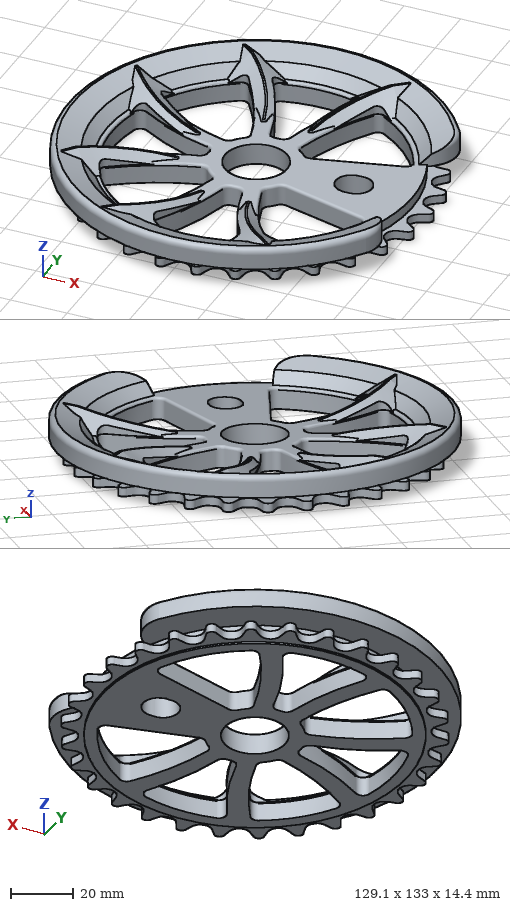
import cadquery as cq
import math

neck_diameter = 110.3
neck_radius = neck_diameter / 2
plate_top = 7.5
bore_diameter = 22.0
hub_radius = 16.2
window_outer_radius = 50.8
window_edge_round = 1.0
corner_radius = 2.7
slot_center_x = 34.6
slot_length = 12.8
slot_width = 11.0

tooth_count = 30
tooth_bottom = 0.7
tooth_top = 3.7
pitch_radius = 60.8
roller_radius = 3.9
tip_radius = 62.6
tooth_shoulder_radius = 61.2
flank_angle = 24.0

guard_radius = 66.5
guard_bottom = 6.9
guard_top = 14.4
guard_edge_round = 2.1
guard_end_angle = 22.2
guard_end_radius = 10.9
bowl_rim_radius = guard_radius - guard_edge_round
bowl_line_radius = 56.5
bowl_line_z = 11.5
bowl_foot_radius = 52.5

pair_angles = (90, 180, 270)
ridge_start = (24.6, 8.4)
ridge_middle = (41.2, 15.7)
ridge_end = (56.5, 30.5)
ridge_start_z = 7.8
ridge_end_z = 13.8
ridge_level_from = 0.82
ridge_flat_width = 0.7
climb_steps = 4
roof_slope = 0.63

wide_window_angles = (135, 225)
arm_window_angle = 45
narrow_inner = (16.9, 3.0)
narrow_middle = (29.9, 6.9)
narrow_outer_half_width = 16.5
wide_inner_half_width = 3.7
wide_middle = (27.1, 9.5)
wide_outer_half_width = 15.3
arm_inner_y = 9.3
arm_outer_y = 18.4


def polar(radius, degrees):
    angle = math.radians(degrees)
    return (radius * math.cos(angle), radius * math.sin(angle))


def on_circle(radius, offset):
    """Point at the given sideways offset on a circle about the origin."""
    return (math.sqrt(radius**2 - offset**2), offset)


def mirrored(point):
    return (point[0], -point[1])


def turned(point, degrees):
    """Point rotated about the origin."""
    return polar(math.hypot(*point), math.degrees(math.atan2(point[1], point[0])) + degrees)


def window_prism(outline):
    return outline.close().extrude(guard_top).edges("|Z").fillet(corner_radius)


def narrow_window():
    outer = on_circle(window_outer_radius, narrow_outer_half_width)
    outline = (
        cq.Workplane("XY")
        .moveTo(*narrow_inner)
        .threePointArc(narrow_middle, outer)
        .threePointArc((window_outer_radius, 0), mirrored(outer))
        .threePointArc(mirrored(narrow_middle), mirrored(narrow_inner))
    )
    return window_prism(outline)


def wide_window():
    inner = on_circle(hub_radius, wide_inner_half_width)
    outer = on_circle(window_outer_radius, wide_outer_half_width)
    outline = (
        cq.Workplane("XY")
        .moveTo(*inner)
        .threePointArc(wide_middle, outer)
        .threePointArc((window_outer_radius, 0), mirrored(outer))
        .threePointArc(mirrored(wide_middle), mirrored(inner))
        .threePointArc((hub_radius, 0), inner)
    )
    return window_prism(outline)


def arm_window():
    """Window between the +X arm and the next spoke toward +Y."""
    inner = turned(on_circle(hub_radius, wide_inner_half_width), arm_window_angle)
    middle = turned(wide_middle, arm_window_angle)
    outer = turned(on_circle(window_outer_radius, wide_outer_half_width), arm_window_angle)
    arm_outer = on_circle(window_outer_radius, arm_outer_y)
    outline = (
        cq.Workplane("XY")
        .moveTo(*inner)
        .threePointArc(middle, outer)
        .threePointArc(polar(window_outer_radius, arm_window_angle), arm_outer)
        .lineTo(*on_circle(hub_radius, arm_inner_y))
        .threePointArc(polar(hub_radius, arm_window_angle), inner)
    )
    return window_prism(outline)


def all_windows():
    upper_arm_window = arm_window()
    windows = upper_arm_window.add(upper_arm_window.mirror("XZ"))
    for angle in pair_angles:
        windows = windows.add(narrow_window().rotate((0, 0, 0), (0, 0, 1), angle))
    for angle in wide_window_angles:
        windows = windows.add(wide_window().rotate((0, 0, 0), (0, 0, 1), angle))
    return windows.combine()


def sprocket():
    """Toothed disc; each tooth starts and ends at the bottom of a roller seat."""
    half_pitch = 180 / tooth_count
    flank = math.radians(flank_angle)
    seat_center = polar(pitch_radius, half_pitch)
    root = polar(pitch_radius - roller_radius, half_pitch)

    def seat_point(angle):
        return (
            seat_center[0] - roller_radius * math.sin(angle),
            seat_center[1] - roller_radius * math.cos(angle),
        )

    flank_foot = seat_point(flank)
    seat_middle = seat_point((flank + math.radians(90 - half_pitch)) / 2)
    shoulder_y = flank_foot[1] - (tooth_shoulder_radius - flank_foot[0]) * math.tan(flank)
    shoulder = (tooth_shoulder_radius, shoulder_y)

    outline = cq.Workplane("XY").workplane(offset=tooth_bottom).moveTo(*mirrored(root))
    for index in range(tooth_count):
        angle = index * 2 * half_pitch
        outline = (
            outline.threePointArc(turned(mirrored(seat_middle), angle), turned(mirrored(flank_foot), angle))
            .lineTo(*turned(mirrored(shoulder), angle))
            .threePointArc(polar(tip_radius, angle), turned(shoulder, angle))
            .lineTo(*turned(flank_foot, angle))
            .threePointArc(turned(seat_middle, angle), turned(root, angle))
        )
    return outline.close().extrude(tooth_top - tooth_bottom)


def web_plate(windows):
    plate = cq.Workplane("XY").circle(neck_radius).extrude(plate_top).union(sprocket()).cut(windows)
    inner_wires = plate.faces(">Z").val().innerWires()
    window_edges = [edge for wire in inner_wires for edge in wire.Edges()]
    return plate.newObject(window_edges).fillet(window_edge_round)


def guard_bowl():
    """Revolved space above the dished face and inside the guard."""
    return (
        cq.Workplane("XZ")
        .moveTo(0, guard_bottom)
        .lineTo(bowl_foot_radius, guard_bottom)
        .lineTo(bowl_foot_radius, plate_top)
        .lineTo(bowl_line_radius, bowl_line_z)
        .lineTo(bowl_rim_radius, guard_top)
        .lineTo(0, guard_top)
        .close()
        .revolve(360, (0, 0, 0), (0, 1, 0))
    )


def guard_ring():
    """Open ring with rounded ends; the bowl cut sets its final inner edge."""
    height = guard_top - guard_bottom
    reach = 2 * guard_radius
    base = cq.Workplane("XY").workplane(offset=guard_bottom)
    opening = (
        base.polyline([(0, 0), polar(reach, -guard_end_angle), polar(reach, guard_end_angle)])
        .close()
        .extrude(height)
    )
    ring = base.circle(guard_radius).circle(bowl_foot_radius / 2).extrude(height).cut(opening)
    ring = ring.edges("|Z").edges(">X").fillet(guard_end_radius)
    ring = ring.faces(">Z").edges().fillet(guard_edge_round)
    return ring.cut(guard_bowl())


def ridge_height(fraction):
    rise = min(1, fraction / ridge_level_from)
    return ridge_start_z + (ridge_end_z - ridge_start_z) * rise


def roof_section(ridge_path, fraction):
    """Cross-section of a ridge: two equal slopes down from a narrow flat top."""
    height = ridge_height(fraction) - guard_bottom
    half_flat = ridge_flat_width / 2
    half_base = half_flat + height / roof_slope
    point = ridge_path.positionAt(fraction)
    forward = ridge_path.tangentAt(fraction)
    sideways = cq.Vector(-forward.y, forward.x, 0)
    plane = cq.Plane((point.x, point.y, guard_bottom), sideways, forward)
    profile = [(-half_base, 0), (half_base, 0), (half_flat, height), (-half_flat, height)]
    return cq.Wire.makePolygon([plane.toWorldCoords(corner) for corner in profile], close=True)


def spoke_ridge():
    """Ridge beside the +X axis, climbing from the web and levelling off in the guard, with a conical nose."""
    path = cq.Workplane("XY").moveTo(*ridge_start).threePointArc(ridge_middle, ridge_end).val()
    climb = [roof_section(path, ridge_level_from * step / climb_steps) for step in range(climb_steps + 1)]
    level_middle = (ridge_level_from + 1) / 2
    level = [roof_section(path, fraction) for fraction in (ridge_level_from, level_middle, 1)]
    ridge = cq.Workplane(cq.Solid.makeLoft(climb))
    nose_height = ridge_start_z - guard_bottom
    nose_top_radius = ridge_flat_width / 2
    nose_foot_radius = nose_top_radius + nose_height / roof_slope
    nose = cq.Solid.makeCone(
        nose_foot_radius, nose_top_radius, nose_height, cq.Vector(*ridge_start, guard_bottom)
    )
    ridge = ridge.union(cq.Workplane(cq.Solid.makeLoft(level))).union(cq.Workplane(nose))
    return ridge.intersect(cq.Workplane("XY").circle(bowl_rim_radius).extrude(guard_top))


windows = all_windows()

ridge = spoke_ridge()
ridges = cq.Workplane("XY")
for angle in pair_angles:
    for side in (ridge, ridge.mirror("XZ")):
        ridges = ridges.add(side.rotate((0, 0, 0), (0, 0, 1), angle).cut(windows))

bore = cq.Workplane("XY").circle(bore_diameter / 2).extrude(plate_top)
slot = cq.Workplane("XY").center(slot_center_x, 0).slot2D(slot_length, slot_width).extrude(plate_top)
result = web_plate(windows).union(guard_ring()).union(ridges.combine()).cut(bore).cut(slot)